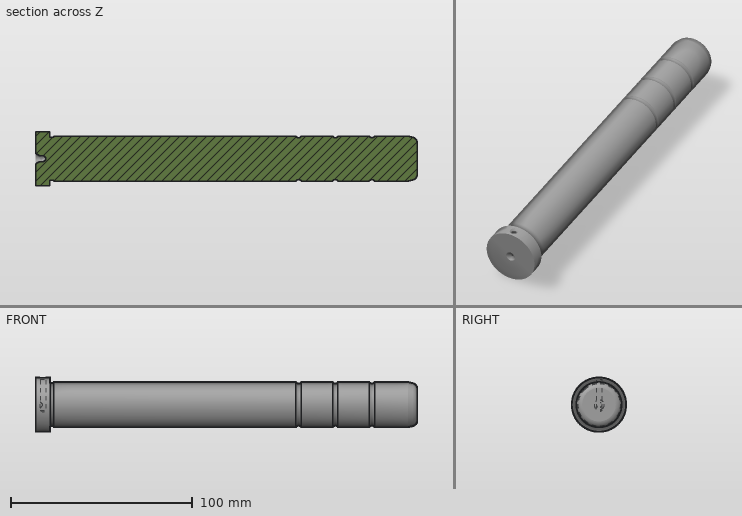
import cadquery as cq
import math

length = 210.0
head_radius = 30.0 / 2
head_length = 8.0
shank_radius = 25.0 / 2

undercut_radius = 12.0
undercut_length = 1.9

first_groove_x = 144.7
groove_pitch = 20.2
groove_count = 3
groove_width = 3.0
groove_depth = 0.8

taper_length = 2.5
taper_drop = 0.6
tip_round_length = 2.5
tip_end_radius = 9.2

center_mouth_radius = 2.7
center_bore_radius = 1.5
center_sink_half_angle = 30

rim_mouth_radius = 2.5
rim_bore_radius = 1.5
rim_sink_half_angle = 45
rim_depth_past_axis = 3.2
drill_half_angle = 59


def cone_length(radius_change, half_angle):
    return radius_change / math.tan(math.radians(half_angle))


def pin_body():
    """Head, undercut, grooved shank and tip as one revolved outline."""
    shank_start = head_length + undercut_length
    outline = (
        cq.Workplane("XY")
        .moveTo(0, 0)
        .lineTo(0, head_radius)
        .lineTo(head_length, head_radius)
        .lineTo(head_length, undercut_radius)
        .lineTo(shank_start, undercut_radius)
        .lineTo(shank_start, shank_radius)
    )
    for i in range(groove_count):
        middle = first_groove_x + i * groove_pitch
        outline = outline.lineTo(middle - groove_width / 2, shank_radius).threePointArc(
            (middle, shank_radius - groove_depth),
            (middle + groove_width / 2, shank_radius),
        )
    round_start = length - tip_round_length
    round_radius = shank_radius - taper_drop
    outline = (
        outline.lineTo(round_start - taper_length, shank_radius)
        .lineTo(round_start, round_radius)
        .tangentArcPoint((length, tip_end_radius), relative=False)
        .lineTo(length, 0)
        .close()
    )
    return outline.revolve(360, (0, 0, 0), (1, 0, 0))


def center_hole():
    """Countersunk bore along the pin axis, ending inside the radial hole."""
    sink_depth = cone_length(center_mouth_radius - center_bore_radius, center_sink_half_angle)
    bore_end = head_length / 2
    return (
        cq.Workplane("XY")
        .polyline([
            (0, 0),
            (0, center_mouth_radius),
            (sink_depth, center_bore_radius),
            (bore_end, center_bore_radius),
            (bore_end, 0),
        ])
        .close()
        .revolve(360, (0, 0, 0), (1, 0, 0))
    )


def rim_hole():
    """Countersunk blind hole drilled from +Z past the axis, midway along the head."""
    middle = head_length / 2
    sink_depth = cone_length(rim_mouth_radius - rim_bore_radius, rim_sink_half_angle)
    bottom = -rim_depth_past_axis
    point = bottom - cone_length(rim_bore_radius, drill_half_angle)
    return (
        cq.Workplane("XZ")
        .polyline([
            (middle, head_radius),
            (middle + rim_mouth_radius, head_radius),
            (middle + rim_bore_radius, head_radius - sink_depth),
            (middle + rim_bore_radius, bottom),
            (middle, point),
        ])
        .close()
        .revolve(360, (middle, 0, 0), (middle, 1, 0))
    )


result = pin_body().cut(center_hole()).cut(rim_hole())